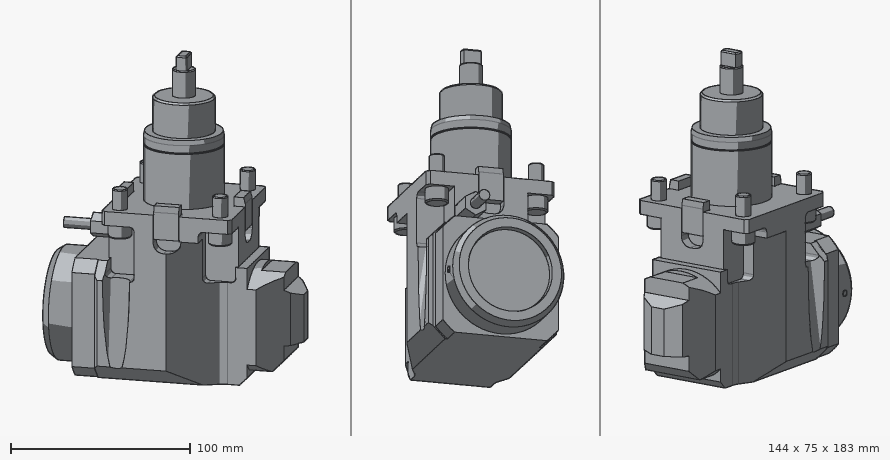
import cadquery as cq
import math


plate_half = 37.5
plate_thickness = 14.5
plate_corner = 2.0

body_bottom = -99.0
body_top = -31.0
cutter_axis_z = (body_bottom + body_top) / 2
body_left = -42.0
body_right = 43.0
body_corner = 2.0
edge_chamfer = 9.2
right_foot_chamfer = 4.5
neck_half_width = 23.3
neck_start = 29.2
neck_fillet = 10.0

pocket_inner_x = 18.5
pocket_outer_x = 36.3
pocket_inner_y = 21.5
pocket_top = -8.0
pocket_floor = -40.0
pocket_fillet = 3.0
tool_groove_radius = 7.8
tool_groove_tilt = 8.3
tool_groove_depth = 8.0

screw_offset = 29.0
screw_radius = 4.3
screw_tip = 11.7
screw_tip_chamfer = 0.6
screw_head_radius = 6.6
screw_head_height = 8.2
screw_head_chamfer = 0.8

slot_width = 15.0
slot_depth = 6.5
slot_bottom = -22.0
slot_fillet = 6.0
key_width = 14.4
key_top = 5.2
key_bottom = -14.0
key_lead_height = 3.5
key_lead_depth = 1.0

collar_radius = 22.6
collar_top = 39.7
collar_chamfer_radial = 0.6
collar_chamfer_height = 2.7
groove_z = 32.2
groove_width = 0.7
groove_depth = 0.4
pilot_radius = 17.5
pilot_top = 60.0
pilot_chamfer = 1.1
shaft_radius = 6.5
shaft_top = 75.5
shaft_chamfer = 0.6
tang_width = 6.3
tang_top = 84.0
tang_chamfer = 0.8

flange_left = -55.5
flange_half_width = 33.8
flange_corner_radius = 43.4
cap_left = -73.5
cap_radius = 32.5
cap_chamfer_length = 4.0
cap_chamfer_radial = 2.6
cap_recess_radius = 24.5
cap_recess_floor_radius = 24.0
cap_recess_depth = 3.5
grub_screw_x = -63.0
grub_screw_radius = 1.8
grub_screw_projection = 0.5

fitting_y = 15.0
fitting_z = -22.9
fitting_left = -56.5
fitting_across_flats = 12.0
pin_radius = 3.1
pin_left = -73.0

nose_radius = 32.0
nose_flat_start = 48.0
nose_top_flat = -35.0
nose_bottom = -91.0
nose_shoulder = 62.0
nose_shoulder_chamfer = 5.6
tip_top = -44.4
tip_bottom = -76.7
tip_break = 65.3
tip_end = 70.5
tip_slope = 30.0
tip_steep_slope = 60.0


def box(x0, x1, y0, y1, z0, z1):
    """Box between two opposite corners."""
    return cq.Workplane("XY").box(x1 - x0, y1 - y0, z1 - z0, centered=False).translate((x0, y0, z0))


def cylinder_x(radius, x0, x1, y=0.0, z=0.0):
    """Cylinder along X."""
    return cq.Workplane("YZ", origin=(x0, y, z)).circle(radius).extrude(x1 - x0)


def prism_along_x(x0, x1):
    """Lower-body cross-section with all four long edges chamfered."""
    block = box(x0, x1, -plate_half, plate_half, body_bottom, body_top)
    return block.edges("|X").chamfer(edge_chamfer)


def make_body():
    """Body below the plate, narrowing from the spindle axis to the neck on the +X side."""
    plan = [
        (body_left, -plate_half),
        (0, -plate_half),
        (neck_start, -neck_half_width),
        (body_right, -neck_half_width),
        (body_right, neck_half_width),
        (neck_start, neck_half_width),
        (0, plate_half),
        (body_left, plate_half),
    ]
    height = -plate_thickness - body_bottom
    body = cq.Workplane("XY", origin=(0, 0, body_bottom)).polyline(plan).close().extrude(height)
    for side in (-1, 1):
        point = (neck_start, side * neck_half_width, cutter_axis_z)
        body = body.edges(cq.selectors.NearestToPointSelector(point)).fillet(neck_fillet)
    body = body.edges("|Z and <X").chamfer(body_corner)

    body = body.cut(box(body_left, -plate_half, -plate_half, plate_half, body_top, 0))
    body = body.cut(box(plate_half, body_right, -plate_half, plate_half, body_top, 0))

    left_section = prism_along_x(body_left, -pocket_outer_x)
    lower_section = prism_along_x(-pocket_outer_x, body_right)
    straight_walls = box(-pocket_outer_x, body_right, -plate_half, plate_half, cutter_axis_z, 0)
    upper_block = box(-plate_half, -pocket_outer_x, -plate_half, plate_half, body_top, 0)
    envelope = left_section.union(lower_section).union(straight_walls).union(upper_block)
    return body.intersect(envelope)


def cut_right_foot(body):
    """Chamfer along the bottom edge of the +X end face."""
    wedge = (
        cq.Workplane("XZ", origin=(0, plate_half, 0))
        .moveTo(body_right, body_bottom)
        .lineTo(body_right, body_bottom + right_foot_chamfer)
        .lineTo(body_right - right_foot_chamfer, body_bottom)
        .close()
        .extrude(2 * plate_half)
    )
    return body.cut(wedge)


def make_plate():
    """Square mounting plate with chamfered corners."""
    plate = box(-plate_half, plate_half, -plate_half, plate_half, -plate_thickness, 0)
    return plate.edges("|Z").chamfer(plate_corner)


def make_pocket():
    """Corner pocket on the -X, -Y corner: closed below body_top, open to the outside above it."""
    outside = plate_half + pocket_fillet
    closed = box(-pocket_outer_x, -pocket_inner_x, -outside, -pocket_inner_y, pocket_floor, pocket_top)
    opened = box(-outside, -pocket_outer_x + pocket_fillet, -outside, -pocket_inner_y, body_top, pocket_top)
    return closed.edges("|Y").fillet(pocket_fillet).union(opened)


def make_tool_groove():
    """Round groove below the -X, -Y pocket, running out downwards because its axis leans outwards."""
    length = 2 * (pocket_floor - body_bottom)
    axis_y = -plate_half + tool_groove_depth - tool_groove_radius
    cutter = cq.Workplane("XY").circle(tool_groove_radius).extrude(length, both=True)
    cutter = cutter.rotate((0, 0, 0), (1, 0, 0), -tool_groove_tilt)
    cutter = cutter.translate((-screw_offset, axis_y, pocket_floor))
    top = pocket_floor + pocket_fillet
    return cutter.intersect(box(-plate_half, 0, -2 * plate_half, 0, body_bottom, top))


def make_slot():
    """Key slot on the -X side."""
    half = slot_width / 2
    slot = box(-plate_half, -plate_half + slot_depth, -half, half, slot_bottom, key_top)
    return slot.edges("|X and <Z").fillet(slot_fillet)


def make_key():
    """Key in the -X slot; its exposed outer face leans inwards."""
    outer = -plate_half
    inner = outer + slot_depth
    profile = [
        (outer, key_bottom),
        (inner, key_bottom),
        (inner, key_top),
        (outer + key_lead_depth, key_top),
        (outer, key_top - key_lead_height),
    ]
    return cq.Workplane("XZ", origin=(0, key_width / 2, 0)).polyline(profile).close().extrude(key_width)


def make_screw():
    """Clamping screw: shank through the plate, head in the pocket below it."""
    shank = cq.Workplane("XY", origin=(0, 0, pocket_top)).circle(screw_radius).extrude(screw_tip - pocket_top)
    shank = shank.faces(">Z").chamfer(screw_tip_chamfer)
    head = cq.Workplane("XY", origin=(0, 0, pocket_top)).circle(screw_head_radius).extrude(-screw_head_height)
    return shank.union(head.faces("<Z").chamfer(screw_head_chamfer))


def make_spindle():
    """Stepped shank with a ring groove and a flat driving tang."""
    groove_floor = collar_radius - groove_depth
    profile = [
        (0, -plate_thickness),
        (collar_radius, -plate_thickness),
        (collar_radius, groove_z - groove_width / 2),
        (groove_floor, groove_z - groove_width / 2),
        (groove_floor, groove_z + groove_width / 2),
        (collar_radius, groove_z + groove_width / 2),
        (collar_radius, collar_top - collar_chamfer_height),
        (collar_radius - collar_chamfer_radial, collar_top),
        (pilot_radius, collar_top),
        (pilot_radius, pilot_top - pilot_chamfer),
        (pilot_radius - pilot_chamfer, pilot_top),
        (shaft_radius, pilot_top),
        (shaft_radius, shaft_top - shaft_chamfer),
        (shaft_radius - shaft_chamfer, shaft_top),
        (0, shaft_top),
    ]
    spindle = cq.Workplane("XZ").polyline(profile).close().revolve(360, (0, 0, 0), (0, 1, 0))
    tang_radius = shaft_radius - shaft_chamfer
    bar = cq.Workplane("XY", origin=(0, 0, pilot_top)).circle(tang_radius).extrude(tang_top - pilot_top)
    half = tang_width / 2
    tang = bar.intersect(box(-half, half, -tang_radius, tang_radius, pilot_top, tang_top))
    tang = tang.faces(">Z").chamfer(tang_chamfer)
    return spindle.union(tang)


def make_flange():
    """Square flange with its long edges rounded by a cylinder about the cutter axis."""
    width = flange_half_width
    block = box(flange_left, body_left, -width, width, body_bottom, body_top)
    return block.intersect(cylinder_x(flange_corner_radius, flange_left, body_left, z=cutter_axis_z))


def make_cap():
    """Round cap with a tapered recess in its end and a small grub screw on the +Y side."""
    cap = cylinder_x(cap_radius, cap_left, flange_left, z=cutter_axis_z)
    cap = cap.faces("<X").edges().chamfer(cap_chamfer_length, cap_chamfer_radial)
    recess = (
        cq.Workplane("YZ", origin=(cap_left, 0, cutter_axis_z))
        .circle(cap_recess_radius)
        .workplane(offset=cap_recess_depth)
        .circle(cap_recess_floor_radius)
        .loft()
    )
    screw_length = cap_radius / 2
    screw = cq.Workplane("XZ", origin=(grub_screw_x, cap_radius + grub_screw_projection, cutter_axis_z))
    return cap.cut(recess).union(screw.circle(grub_screw_radius).extrude(screw_length))


def make_fitting():
    """Hexagon fitting with a round pin on its end."""
    across_corners = fitting_across_flats / math.cos(math.radians(30))
    hexagon = (
        cq.Workplane("YZ", origin=(fitting_left, fitting_y, fitting_z))
        .transformed(rotate=(0, 0, 90))
        .polygon(6, across_corners)
        .extrude(-plate_half - fitting_left)
    )
    return hexagon.union(cylinder_x(pin_radius, pin_left, fitting_left, fitting_y, fitting_z))


def make_nose():
    """Nose: a cylinder along X trimmed to its side outline and its plan outline."""
    tip_corner = tip_top - (tip_end - nose_shoulder) * math.tan(math.radians(tip_slope))
    side = [
        (body_right, cutter_axis_z + nose_radius),
        (nose_flat_start, cutter_axis_z + nose_radius),
        (nose_flat_start, nose_top_flat),
        (nose_shoulder, nose_top_flat),
        (nose_shoulder, tip_top),
        (tip_end, tip_corner),
        (tip_end, tip_bottom),
        (nose_shoulder, tip_bottom),
        (nose_shoulder, nose_bottom + nose_shoulder_chamfer),
        (nose_shoulder - nose_shoulder_chamfer, nose_bottom),
        (body_right, nose_bottom),
    ]
    side_solid = cq.Workplane("XZ").polyline(side).close().extrude(nose_radius, both=True)

    break_half = neck_half_width - (tip_break - nose_flat_start) * math.tan(math.radians(tip_slope))
    end_half = break_half - (tip_end - tip_break) * math.tan(math.radians(tip_steep_slope))
    plan = [
        (body_right, -neck_half_width),
        (nose_flat_start, -neck_half_width),
        (tip_break, -break_half),
        (tip_end, -end_half),
        (tip_end, end_half),
        (tip_break, break_half),
        (nose_flat_start, neck_half_width),
        (body_right, neck_half_width),
    ]
    plan_solid = cq.Workplane("XY", origin=(0, 0, body_bottom)).polyline(plan).close().extrude(-body_bottom)
    round_bar = cylinder_x(nose_radius, body_right, tip_end, z=cutter_axis_z)
    return round_bar.intersect(side_solid).intersect(plan_solid)


def mirrored_to_corners(shape):
    """The shape and its mirror images in the other three corners."""
    pair = [shape, shape.mirror("YZ")]
    return pair + [item.mirror("XZ") for item in pair]


result = cut_right_foot(make_body()).union(make_plate())

for pocket in mirrored_to_corners(make_pocket()):
    result = result.cut(pocket)

tool_groove = make_tool_groove()
result = result.cut(tool_groove).cut(tool_groove.mirror("XZ"))

for angle in (0, 90, 180):
    slot = make_slot().rotate((0, 0, 0), (0, 0, 1), angle)
    key = make_key().rotate((0, 0, 0), (0, 0, 1), angle)
    result = result.cut(slot).union(key)

for x in (-screw_offset, screw_offset):
    for y in (-screw_offset, screw_offset):
        result = result.union(make_screw().translate((x, y, 0)))

result = result.union(make_spindle())
result = result.union(make_flange())
result = result.union(make_cap())
result = result.union(make_fitting())
result = result.union(make_nose())